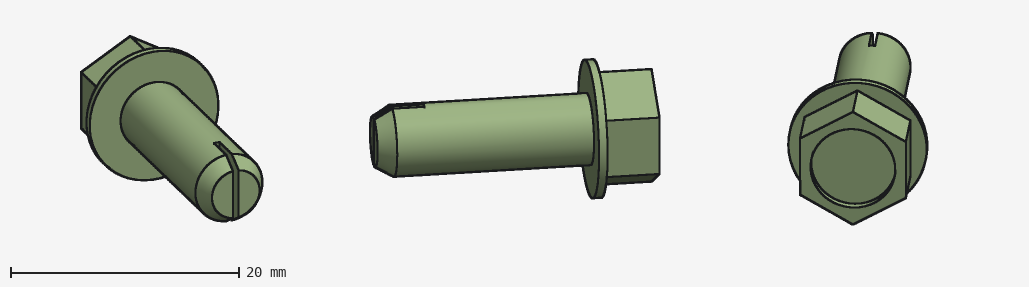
import cadquery as cq
import math

overall_length = 24.64

head_sides = 6
head_length = 4.83
head_across_flats = 9.3
recess_diameter = 7.46
recess_depth = 0.85

flange_diameter = 12.19
flange_thickness = 0.76

shank_diameter = 6.35
tip_length = 1.6
tip_end_diameter = 4.5

slot_length = 4.45
slot_width = 0.53

flange_end = head_length + flange_thickness
tip_start = overall_length - tip_length
slot_start = overall_length - slot_length


def make_head():
    """Hexagonal prism with two corners on the Z axis and flats facing +Y and -Y."""
    corner_radius = head_across_flats / 2 / math.cos(math.pi / head_sides)
    corner_angles = [2 * math.pi * i / head_sides for i in range(head_sides)]
    corners = [(corner_radius * math.sin(a), corner_radius * math.cos(a)) for a in corner_angles]
    return cq.Workplane("YZ").polyline(corners).close().extrude(head_length)


def make_recess():
    """Shallow round pocket in the head face."""
    return cq.Workplane("YZ").circle(recess_diameter / 2).extrude(recess_depth)


def make_flange_and_shank():
    """Flange, shank and conical tip turned from one half profile."""
    return (
        cq.Workplane("XY")
        .moveTo(head_length, 0)
        .lineTo(head_length, flange_diameter / 2)
        .lineTo(flange_end, flange_diameter / 2)
        .lineTo(flange_end, shank_diameter / 2)
        .lineTo(tip_start, shank_diameter / 2)
        .lineTo(overall_length, tip_end_diameter / 2)
        .lineTo(overall_length, 0)
        .close()
        .revolve(360, (0, 0, 0), (1, 0, 0))
    )


def make_slot():
    """Narrow slot that splits the tip, cut through the full shank in Z."""
    return (
        cq.Workplane("XY")
        .box(slot_length, slot_width, shank_diameter, centered=(False, True, True))
        .translate((slot_start, 0, 0))
    )


result = make_head().union(make_flange_and_shank()).cut(make_recess()).cut(make_slot())